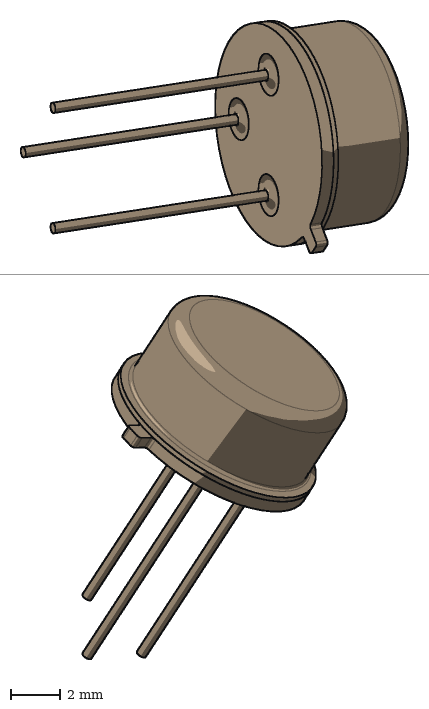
import cadquery as cq
import math

total_length = 14.38
package_height = 4.46
lead_length = total_length - package_height

flange_radius = 4.57
base_thickness = 0.53
tab_reach = 5.45
tab_width = 0.79
tab_corner_radius = 0.16
tab_angle = -45.0

can_radius = 4.14
can_top_radius = 0.63
rim_thickness = 0.22
rim_rise = 0.09
neck_radius = 0.13

lead_circle_radius = 2.55
lead_angles = (90.0, 180.0, 270.0)
lead_radius = 0.22
seal_radius = 0.86
seal_dip = 0.07
seal_collar_height = 0.13
seal_low_radius = 0.59

lead_places = [
    (
        lead_circle_radius * math.cos(math.radians(angle)),
        lead_circle_radius * math.sin(math.radians(angle)),
    )
    for angle in lead_angles
]


def make_base():
    """Disc with a rounded tab and one through hole for each seal."""
    disc = cq.Workplane("XZ").circle(flange_radius).extrude(-base_thickness)
    tab = (
        cq.Workplane("XZ")
        .center(tab_reach / 2, 0)
        .rect(tab_reach, tab_width)
        .extrude(-base_thickness)
        .edges("|Y and >X")
        .fillet(tab_corner_radius)
    )
    base = disc.union(tab)

    half_width = tab_width / 2
    root_x = math.sqrt(flange_radius**2 - half_width**2)
    for side in (-1, 1):
        root = cq.Vector(root_x, base_thickness / 2, side * half_width)
        base = base.edges(cq.selectors.NearestToPointSelector(root.toTuple())).fillet(tab_corner_radius)

    base = base.rotate((0, 0, 0), (0, 1, 0), -tab_angle)
    holes = cq.Workplane("XZ").pushPoints(lead_places).circle(seal_radius).extrude(-base_thickness)
    return base.cut(holes)


def make_can():
    """Round-topped can with a sloping rim that rests on the base."""
    rim_edge_y = base_thickness + rim_thickness
    neck_y = rim_edge_y + rim_rise
    arc_offset = math.sqrt(0.5)
    top_center_r = can_radius - can_top_radius
    top_center_y = package_height - can_top_radius
    neck_center_r = can_radius + neck_radius
    neck_center_y = neck_y + neck_radius
    return (
        cq.Workplane("XY")
        .moveTo(0, base_thickness)
        .lineTo(flange_radius, base_thickness)
        .lineTo(flange_radius, rim_edge_y)
        .lineTo(neck_center_r, neck_y)
        .threePointArc(
            (neck_center_r - neck_radius * arc_offset, neck_center_y - neck_radius * arc_offset),
            (can_radius, neck_center_y),
        )
        .lineTo(can_radius, top_center_y)
        .threePointArc(
            (top_center_r + can_top_radius * arc_offset, top_center_y + can_top_radius * arc_offset),
            (top_center_r, package_height),
        )
        .lineTo(0, package_height)
        .close()
        .revolve(360, (0, 0, 0), (0, 1, 0))
    )


def make_seal(x, z):
    """Glass ring with a dished face that climbs to a small collar on the lead."""
    return (
        cq.Workplane("XY")
        .moveTo(lead_radius, base_thickness)
        .lineTo(seal_radius, base_thickness)
        .lineTo(seal_radius, 0)
        .threePointArc((seal_low_radius, seal_dip), (lead_radius, -seal_collar_height))
        .close()
        .revolve(360, (0, 0, 0), (0, 1, 0))
        .translate((x, 0, z))
    )


def make_lead(x, z):
    """Straight round lead that ends flush with the inner face of the base."""
    return (
        cq.Workplane("XZ", origin=(x, base_thickness, z))
        .circle(lead_radius)
        .extrude(lead_length + base_thickness)
    )


base = make_base()
can = make_can()
seals = [make_seal(x, z) for x, z in lead_places]
leads = [make_lead(x, z) for x, z in lead_places]

result = cq.Compound.makeCompound(
    [
        base.solids().val(),
        can.val(),
        *[seal.val() for seal in seals],
        *[lead.val() for lead in leads],
    ]
)